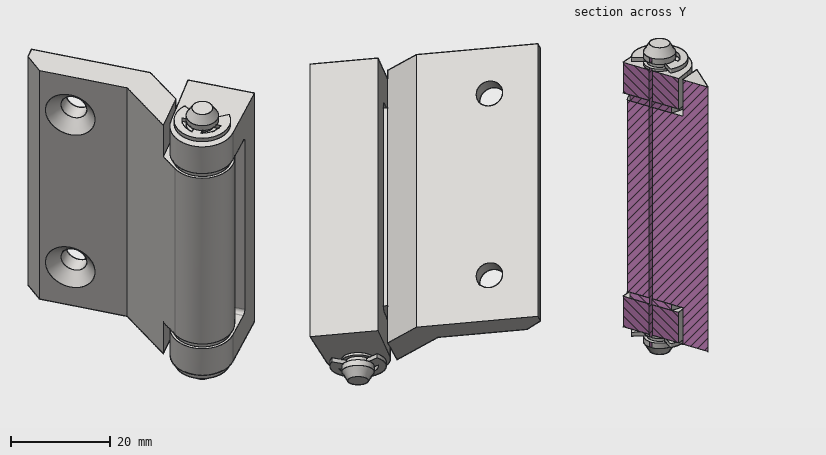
import cadquery as cq
import math


HINGE_HEIGHT = 60.0
BARREL_R = 6.5
MOUNT_Y = 13.0
PLATE_THICKNESS = 6.0
PIN_R = 3.3

LEAF_END_X = -39.95
EDGE_CHAMFER = 3.55
FRONT_BEND_X = -18.0
BACK_BEND_X = -14.95
NOTCH_X = -7.6
BARREL_LENGTH = 43.5
HOLE_X = -29.95
HOLE_SPACING = 39.95
HOLE_D = 5.4
COUNTERSINK_D = 10.4
COUNTERSINK_ANGLE = 90

BRACKET_HALF_WIDTH = 7.0
KNUCKLE_GAP = 45.95
GAP_FILLET = 0.9

WASHER_R = 6.0
WASHER_THICKNESS = (KNUCKLE_GAP - BARREL_LENGTH) / 2

PIN_LENGTH = 69.5
PIN_TIP_R = 2.1
PIN_TIP_LENGTH = 1.95
GROOVE_R = 2.5
GROOVE_INNER_Z = 30.5
GROOVE_OUTER_Z = 31.55
CLIP_THICKNESS = 0.9
CLIP_R = 5.7
CLIP_OPENING_HALF_ANGLE = 55
RELIEF_R = 4.1
RELIEF_START_Y = -0.55
PRONG_WIDTH = 1.8


def make_disc(radius, thickness, center_z=0):
    """Solid disc on the pin axis, centered at the given height."""
    return cq.Workplane("XY").workplane(offset=center_z - thickness / 2).circle(radius).extrude(thickness)


def tangent_angle(x, y):
    """Direction of the line from (x, y), left of the pin, that touches the barrel circle on its -X, -Y side."""
    to_axis = math.atan2(-y, -x)
    return to_axis - math.asin(BARREL_R / math.hypot(x, y))


def make_leaf():
    front_y = MOUNT_Y - PLATE_THICKNESS
    slope = tangent_angle(FRONT_BEND_X, front_y)
    touch_point = (BARREL_R * math.sin(slope), -BARREL_R * math.cos(slope))
    back_slope_end_x = BACK_BEND_X + (BARREL_R - MOUNT_Y) / math.tan(slope)

    leaf = (
        cq.Workplane("XY")
        .workplane(offset=-HINGE_HEIGHT / 2)
        .moveTo(LEAF_END_X, MOUNT_Y)
        .lineTo(BACK_BEND_X, MOUNT_Y)
        .lineTo(back_slope_end_x, BARREL_R)
        .lineTo(0, BARREL_R)
        .threePointArc((BARREL_R, 0), touch_point)
        .lineTo(FRONT_BEND_X, front_y)
        .lineTo(LEAF_END_X + EDGE_CHAMFER, front_y)
        .lineTo(LEAF_END_X, front_y + EDGE_CHAMFER)
        .close()
        .extrude(HINGE_HEIGHT)
    )

    notch_width = BARREL_R - NOTCH_X
    notch_height = (HINGE_HEIGHT - BARREL_LENGTH) / 2
    for side in (-1, 1):
        notch_z = side * (BARREL_LENGTH + notch_height) / 2
        notch = cq.Workplane("XY").box(notch_width, 2 * MOUNT_Y, notch_height)
        leaf = leaf.cut(notch.translate((NOTCH_X + notch_width / 2, 0, notch_z)))

    for side in (-1, 1):
        screw_plane = cq.Plane(
            origin=(HOLE_X, front_y, side * HOLE_SPACING / 2), xDir=(1, 0, 0), normal=(0, -1, 0)
        )
        leaf = leaf.copyWorkplane(cq.Workplane(screw_plane)).cskHole(
            HOLE_D, COUNTERSINK_D, COUNTERSINK_ANGLE
        )
    return leaf.cut(make_disc(PIN_R, HINGE_HEIGHT))


def make_bracket():
    side_angle = tangent_angle(-BRACKET_HALF_WIDTH, MOUNT_Y)
    touch_x = -BARREL_R * math.sin(side_angle)
    touch_y = -BARREL_R * math.cos(side_angle)
    bracket = (
        cq.Workplane("XY")
        .workplane(offset=-HINGE_HEIGHT / 2)
        .moveTo(-BRACKET_HALF_WIDTH, MOUNT_Y)
        .lineTo(-touch_x, touch_y)
        .threePointArc((0, -BARREL_R), (touch_x, touch_y))
        .lineTo(BRACKET_HALF_WIDTH, MOUNT_Y)
        .close()
        .extrude(HINGE_HEIGHT)
    )

    plate_front_y = MOUNT_Y - PLATE_THICKNESS
    gap_depth = plate_front_y + BARREL_R
    gap = (
        cq.Workplane("XY")
        .box(2 * BRACKET_HALF_WIDTH, gap_depth, KNUCKLE_GAP)
        .translate((0, plate_front_y - gap_depth / 2, 0))
        .faces(">Y")
        .edges("|X")
        .fillet(GAP_FILLET)
    )
    return bracket.cut(gap).cut(make_disc(PIN_R, HINGE_HEIGHT))


def make_pin():
    half_length = PIN_LENGTH / 2
    shoulder_z = half_length - PIN_TIP_LENGTH
    upper_profile = [
        (PIN_R, GROOVE_INNER_Z),
        (GROOVE_R, GROOVE_INNER_Z),
        (GROOVE_R, GROOVE_OUTER_Z),
        (PIN_R, GROOVE_OUTER_Z),
        (PIN_R, shoulder_z),
        (PIN_TIP_R, half_length),
        (0, half_length),
    ]
    lower_profile = [(r, -z) for r, z in reversed(upper_profile)]
    return cq.Workplane("XZ").polyline(lower_profile + upper_profile).close().revolve(360, (0, 0), (0, 1))


def make_washer(side):
    """Washer against the inner face of the knuckle on the given side (+1 upper, -1 lower)."""
    center_z = side * (KNUCKLE_GAP - WASHER_THICKNESS) / 2
    return make_disc(WASHER_R, WASHER_THICKNESS, center_z).cut(make_disc(PIN_R, WASHER_THICKNESS, center_z))


def make_clip(side):
    """E-shaped retaining clip in the pin groove on the given side (+1 upper, -1 lower)."""
    clip = make_disc(CLIP_R, CLIP_THICKNESS).cut(make_disc(GROOVE_R, CLIP_THICKNESS))

    relief = make_disc(RELIEF_R, CLIP_THICKNESS)
    for pocket_side in (-1, 1):
        pocket_center = (pocket_side * (PRONG_WIDTH + RELIEF_R) / 2, RELIEF_START_Y - RELIEF_R / 2, 0)
        pocket = cq.Workplane("XY").box(RELIEF_R, RELIEF_R, CLIP_THICKNESS).translate(pocket_center)
        clip = clip.cut(pocket.intersect(relief))

    opening_y = 2 * CLIP_R
    opening_x = opening_y * math.tan(math.radians(CLIP_OPENING_HALF_ANGLE))
    opening = (
        cq.Workplane("XY")
        .workplane(offset=-CLIP_THICKNESS / 2)
        .polyline([(0, 0), (opening_x, opening_y), (-opening_x, opening_y)])
        .close()
        .extrude(CLIP_THICKNESS)
    )
    center_z = side * (GROOVE_OUTER_Z - CLIP_THICKNESS / 2)
    return clip.cut(opening).translate((0, 0, center_z))


leaf = make_leaf()
bracket = make_bracket()
pin = make_pin()
washers = [make_washer(side) for side in (-1, 1)]
clips = [make_clip(side) for side in (-1, 1)]

result = cq.Compound.makeCompound(
    [leaf.val(), bracket.val(), pin.val(), *[w.val() for w in washers], *[c.val() for c in clips]]
)